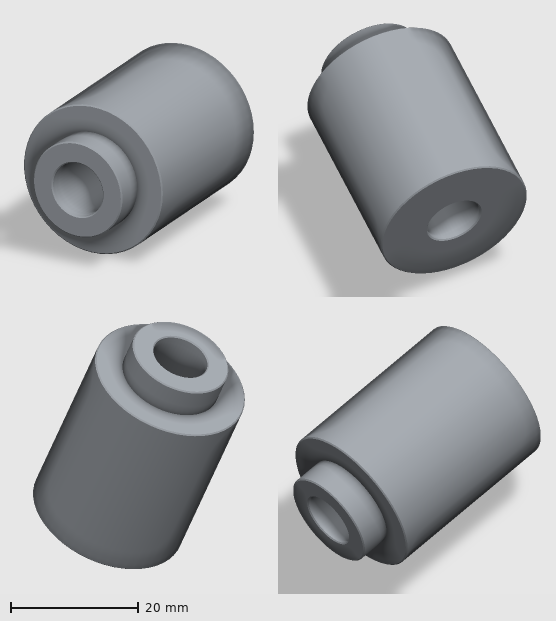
import cadquery as cq

total_length = 35.0
spigot_length = 5.0
body_diameter = 25.0
spigot_diameter = 16.0
bore_diameter = 9.0
edge_chamfer = 0.2

body_length = total_length - spigot_length


def cylinder_along_y(diameter, start_y, length):
    """Solid cylinder on the Y axis, from start_y towards +Y."""
    return cq.Workplane("XZ", origin=(0, start_y, 0)).circle(diameter / 2).extrude(-length)


body = cylinder_along_y(body_diameter, spigot_length, body_length)
body = body.edges("%CIRCLE").chamfer(edge_chamfer)

spigot = cylinder_along_y(spigot_diameter, 0, spigot_length)
spigot = spigot.faces("<Y").edges().chamfer(edge_chamfer)

bore = cylinder_along_y(bore_diameter, 0, total_length)
result = body.union(spigot).cut(bore)
bore_mouths = cq.selectors.RadiusNthSelector(0)
result = result.edges("%CIRCLE").edges(bore_mouths).chamfer(edge_chamfer)